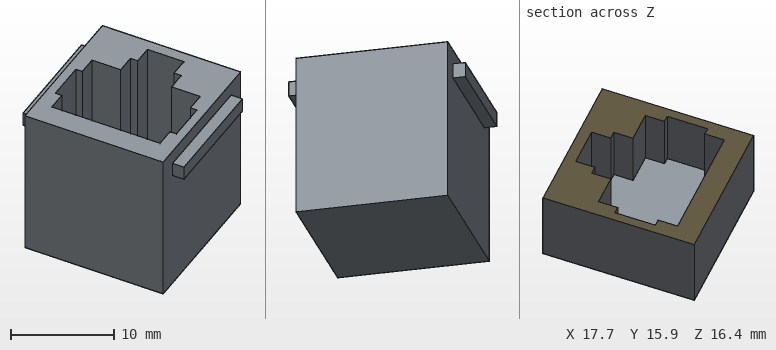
import cadquery as cq

overall_width = 17.7
body_width = 15.2
body_depth = 15.88
body_height = 16.37
back_y = body_depth / 2

rail_length = 12.0
rail_height = 1.5
rail_top_gap = 1.5
rail_back_gap = 1.95

latch_half_width = 2.0
shoulder_half_width = 2.8
plug_half_width = 5.95
notch_half_width = 6.65

latch_back = 1.2
shoulder_back = 3.2
plug_back = 5.2
notch_back = 7.2
notch_front = 11.4
plug_front = 13.43

floor_thickness = 2.0
socket_depth = body_height - floor_thickness


def socket_step(half_width, back_gap, front_gap):
    """Rectangular slice of the socket, open at the top of the body."""
    length = front_gap - back_gap
    return (
        cq.Workplane("XY")
        .box(2 * half_width, length, socket_depth, centered=(True, False, False))
        .translate((0, back_y - front_gap, floor_thickness))
    )


body = cq.Workplane("XY").box(body_width, body_depth, body_height, centered=(True, True, False))

rails = (
    cq.Workplane("XY")
    .box(overall_width, rail_length, rail_height, centered=(True, False, False))
    .translate((0, back_y - rail_back_gap - rail_length, body_height - rail_top_gap - rail_height))
)

socket = (
    socket_step(plug_half_width, plug_back, plug_front)
    .union(socket_step(notch_half_width, notch_back, notch_front))
    .union(socket_step(shoulder_half_width, shoulder_back, plug_front))
    .union(socket_step(latch_half_width, latch_back, plug_front))
)

result = body.union(rails).cut(socket)